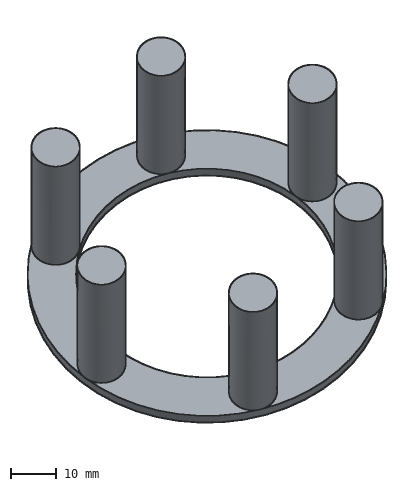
import cadquery as cq

outer_diameter = 78.5
inner_diameter = 57.3
overall_height = 38.1
plate_thickness = 2.5
pillar_count = 6
first_pillar_angle = 90.0

pillar_diameter = (outer_diameter - inner_diameter) / 2
pillar_circle_radius = (outer_diameter + inner_diameter) / 4


def make_ring():
    """Flat ring resting on the XY plane."""
    return (
        cq.Workplane("XY")
        .circle(outer_diameter / 2)
        .circle(inner_diameter / 2)
        .extrude(plate_thickness)
    )


def make_pillars():
    """Evenly spaced round pillars standing on the ring's upper face."""
    return (
        cq.Workplane("XY", origin=(0, 0, plate_thickness))
        .polarArray(pillar_circle_radius, first_pillar_angle, 360, pillar_count)
        .circle(pillar_diameter / 2)
        .extrude(overall_height - plate_thickness)
    )


result = make_ring().union(make_pillars())